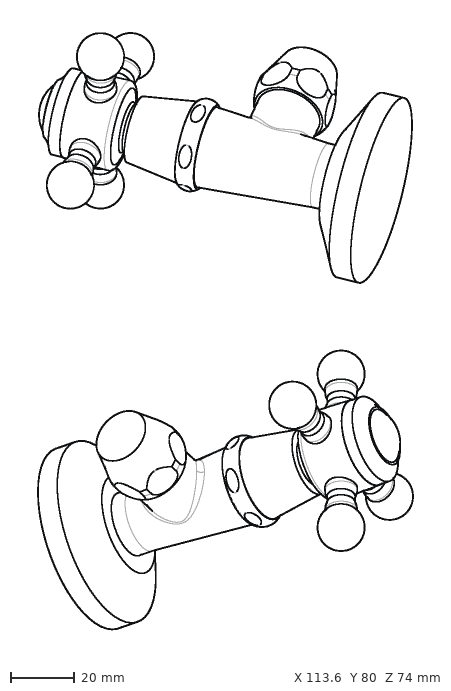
import cadquery as cq
import math

overall_length = 113.6
hex_sides = 6

dome_radius = 8.7
dome_height = 3.9
dome_ledge_radius = 9.5
cap_radius = 14.1
cap_flare_end = 7.3
cap_end = 11.1
cap_flare_sag = 0.3

hub_front_radius = 14.2
hub_rear_radius = 14.7
hub_shoulder_start = 26.0
hub_shoulder_radius = 12.5
hub_shoulder_end = 27.5
neck_radius = 7.8
neck_flare_radius = 8.3
neck_flare_start = 28.7
neck_start = 29.8
neck_end = 31.5

arm_position = 19.9
arm_count = 4
handle_span = 74.0
ball_radius = 7.5
ball_distance = handle_span / 2 - ball_radius
arm_end_radius = 5.1
arm_waist_radius = 4.4
arm_root_distance = 15.1
arm_waist_start = 17.6
arm_waist_end = 20.0
arm_tip_distance = 22.8

bonnet_front_radius = 10.8
bonnet_rear_radius = 13.4
collar_start = 49.3
collar_end = 55.5
collar_side_radius = 13.6
collar_radius = 15.0
collar_flat_distance = 14.48

body_front_radius = 13.1
pipe_radius = 10.5
body_taper_end = 93.4
outlet_position = 75.1
outlet_fillet = 1.7

nut_start = 22.2
nut_round_end = 26.9
nut_cone_start = 29.5
nut_end = 43.0
nut_base_radius = 11.4
nut_radius = 13.1
nut_end_radius = 9.1
nut_flat_distance = 11.9

flange_start = 98.4
flange_rim_start = 106.5
flange_face_radius = 16.2
flange_radius = 30.1


def revolve_about_x(profile):
    """Close a profile drawn in X and radius, and turn it about the X axis."""
    return profile.close().revolve(360, (0, 0, 0), (1, 0, 0))


def tangent_arc_radius(length, rise):
    """Radius of an arc that leaves a straight side tangentially and moves off it by rise over length."""
    return (length**2 + rise**2) / (2 * rise)


def make_cap():
    flare_middle = (
        (dome_height + cap_flare_end) / 2 + cap_flare_sag,
        (dome_ledge_radius + cap_radius) / 2 - cap_flare_sag,
    )
    sphere_radius = tangent_arc_radius(dome_radius, dome_height)
    dome_middle_x = dome_height / 2
    dome_middle_radius = math.sqrt(2 * sphere_radius * dome_middle_x - dome_middle_x**2)
    return revolve_about_x(
        cq.Workplane("XY")
        .threePointArc((dome_middle_x, dome_middle_radius), (dome_height, dome_radius))
        .lineTo(dome_height, dome_ledge_radius)
        .threePointArc(flare_middle, (cap_flare_end, cap_radius))
        .lineTo(cap_end, cap_radius)
        .lineTo(cap_end, 0)
    )


def make_hub():
    return revolve_about_x(
        cq.Workplane("XY")
        .moveTo(cap_end, 0)
        .lineTo(cap_end, hub_front_radius)
        .lineTo(hub_shoulder_start, hub_rear_radius)
        .tangentArcPoint((hub_shoulder_end, hub_shoulder_radius), relative=False)
        .lineTo(neck_flare_start, neck_flare_radius)
        .lineTo(neck_start, neck_radius)
        .lineTo(neck_end, neck_radius)
        .lineTo(neck_end, 0)
    )


def make_arm():
    """One arm standing along +Z from the main axis, waisted and ending in a ball."""
    waist_depth = arm_end_radius - arm_waist_radius
    root_flare = tangent_arc_radius(arm_waist_start - arm_root_distance, waist_depth)
    tip_flare = tangent_arc_radius(arm_tip_distance - arm_waist_end, waist_depth)
    stem = (
        cq.Workplane("XZ")
        .lineTo(arm_end_radius, 0)
        .lineTo(arm_end_radius, arm_root_distance)
        .radiusArc((arm_waist_radius, arm_waist_start), -root_flare)
        .lineTo(arm_waist_radius, arm_waist_end)
        .radiusArc((arm_end_radius, arm_tip_distance), -tip_flare)
        .lineTo(arm_end_radius, ball_distance)
        .lineTo(0, ball_distance)
        .close()
        .revolve(360, (0, 0, 0), (0, 1, 0))
    )
    ball = cq.Workplane("XY").sphere(ball_radius).translate((0, 0, ball_distance))
    return stem.union(ball).translate((arm_position, 0, 0))


def make_handle():
    handle = make_hub()
    arm = make_arm()
    for index in range(arm_count):
        handle = handle.union(arm.rotate((0, 0, 0), (1, 0, 0), index * 360 / arm_count))
    return handle


def make_bonnet():
    collar_middle = (collar_start + collar_end) / 2
    turned = revolve_about_x(
        cq.Workplane("XY")
        .moveTo(neck_end, 0)
        .lineTo(neck_end, bonnet_front_radius)
        .lineTo(collar_start, bonnet_rear_radius)
        .lineTo(collar_start, collar_side_radius)
        .threePointArc((collar_middle, collar_radius), (collar_end, collar_side_radius))
        .lineTo(collar_end, 0)
    )
    hexagon = (
        cq.Workplane("YZ", origin=(neck_end, 0, 0))
        .transformed(rotate=(0, 0, 180 / hex_sides))
        .polygon(hex_sides, 2 * collar_flat_distance, circumscribed=True)
        .extrude(collar_end - neck_end)
    )
    return turned.intersect(hexagon)


def make_body():
    barrel = revolve_about_x(
        cq.Workplane("XY")
        .moveTo(collar_end, 0)
        .lineTo(collar_end, body_front_radius)
        .lineTo(body_taper_end, pipe_radius)
        .lineTo(flange_start, pipe_radius)
        .lineTo(flange_start, 0)
    )
    outlet = (
        cq.Workplane("XZ", origin=(outlet_position, 0, 0))
        .circle(pipe_radius)
        .extrude(-nut_start)
    )
    return barrel.union(outlet).edges("not(%LINE or %CIRCLE)").fillet(outlet_fillet)


def make_nut():
    base_round = tangent_arc_radius(nut_round_end - nut_start, nut_radius - nut_base_radius)
    turned = (
        cq.Workplane("XY")
        .moveTo(0, nut_start)
        .lineTo(nut_base_radius, nut_start)
        .radiusArc((nut_radius, nut_round_end), -base_round)
        .lineTo(nut_radius, nut_cone_start)
        .lineTo(nut_end_radius, nut_end)
        .lineTo(0, nut_end)
        .close()
        .revolve(360, (0, 0, 0), (0, 1, 0))
        .translate((outlet_position, 0, 0))
    )
    hexagon = (
        cq.Workplane("XZ", origin=(outlet_position, nut_start, 0))
        .polygon(hex_sides, 2 * nut_flat_distance, circumscribed=True)
        .extrude(nut_start - nut_end)
    )
    return turned.intersect(hexagon)


def make_flange():
    return revolve_about_x(
        cq.Workplane("XY")
        .moveTo(flange_start, 0)
        .lineTo(flange_start, flange_face_radius)
        .lineTo(flange_rim_start, flange_radius)
        .lineTo(overall_length, flange_radius)
        .lineTo(overall_length, 0)
    )


cap = make_cap()
handle = make_handle()
bonnet = make_bonnet()
body = make_body()
nut = make_nut()
flange = make_flange()

result = cq.Compound.makeCompound(
    [cap.val(), handle.val(), bonnet.val(), body.val(), nut.val(), flange.val()]
)